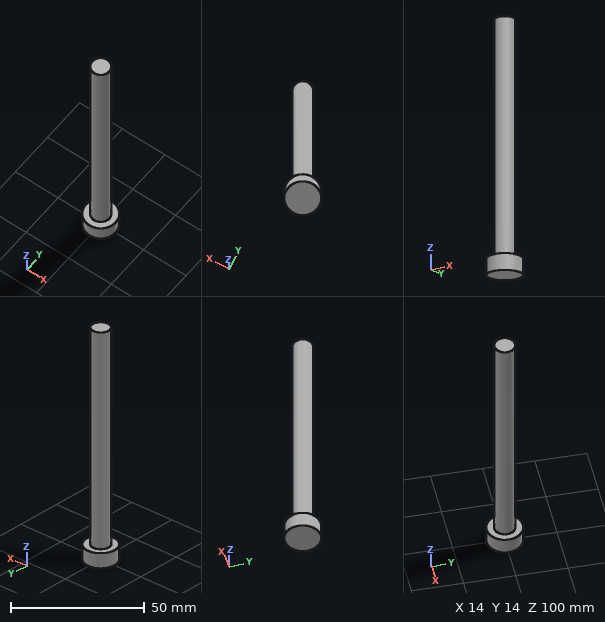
import cadquery as cq

total_length = 100.0
head_diameter = 14.0
head_height = 6.6
shaft_diameter = 8.0

head = cq.Workplane("XY").circle(head_diameter / 2).extrude(head_height)

shaft_length = total_length - head_height
shaft = (
    cq.Workplane("XY", origin=(0, 0, head_height))
    .circle(shaft_diameter / 2)
    .extrude(shaft_length)
)

result = head.union(shaft)